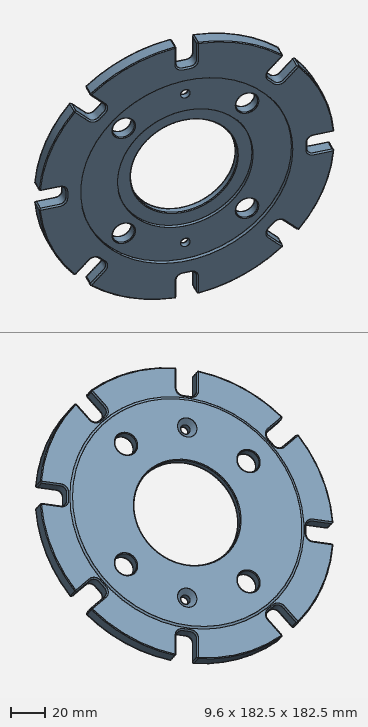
import cadquery as cq
import math

slot_width = 12.8
slot_floor_radius = 74.6
slot_corner_radius = 4.0
slot_chamfer = 1.0
slot_mouth_half_width = slot_width / 2 + slot_chamfer
slot_count = 8
cutter_overrun = 3.6

overall_size = 182.5
plate_radius = math.hypot(overall_size / 2, slot_mouth_half_width)
plate_thickness = 9.1
rim_chamfer = 0.5

boss_height = 0.5
boss_foot_height = 0.2
boss_foot_radius = 73.0
boss_shoulder_radius = 72.5
boss_top_radius = 71.5
total_thickness = boss_height + plate_thickness

recess_radius = 65.7
web_thickness = 7.1
inner_recess_radius = 42.0
inner_web_thickness = 5.0

hole_chamfer = 0.5
center_bore_radius = 33.0
bolt_hole_radius = 6.7
bolt_hole_count = 4
screw_hole_radius = 3.0
screw_hole_count = 2
countersink_radius = 6.0
countersink_depth = countersink_radius - screw_hole_radius
hole_circle_radius = 54.0


def revolve_about_x(profile):
    """Closed (x, radius) profile turned about the X axis."""
    return cq.Workplane("XY").polyline(profile).close().revolve(360, (0, 0, 0), (1, 0, 0))


def ring_positions(cutter, count, start_angle=0):
    """The cutter, modelled on the X-Z plane, repeated evenly about the X axis."""
    step = 360 / count
    return [cutter.rotate((0, 0, 0), (1, 0, 0), start_angle + index * step) for index in range(count)]


def make_body():
    """Turned blank: plate with chamfered rim, front boss and rear recess."""
    rim_edge_radius = plate_radius - rim_chamfer
    return revolve_about_x([
        (0, 0),
        (0, boss_top_radius),
        (boss_height - boss_foot_height, boss_shoulder_radius),
        (boss_height, boss_foot_radius),
        (boss_height, rim_edge_radius),
        (boss_height + rim_chamfer, plate_radius),
        (total_thickness - rim_chamfer, plate_radius),
        (total_thickness, rim_edge_radius),
        (total_thickness, recess_radius),
        (web_thickness, recess_radius),
        (web_thickness, inner_recess_radius),
        (inner_web_thickness, inner_recess_radius),
        (inner_web_thickness, 0),
    ])


def make_slot_prism(start, depth, growth=0, taper=0):
    """Slot at +Z, extruded from X = start, with its outline grown outward by the given amount."""
    half_width = slot_width / 2 + growth
    floor = slot_floor_radius - growth
    radius = slot_corner_radius + growth
    top = plate_radius + cutter_overrun
    return (
        cq.Workplane("YZ", origin=(start, 0, 0))
        .moveTo(-half_width, top)
        .lineTo(-half_width, floor + radius)
        .radiusArc((-half_width + radius, floor), -radius)
        .lineTo(half_width - radius, floor)
        .radiusArc((half_width, floor + radius), -radius)
        .lineTo(half_width, top)
        .close()
        .extrude(depth, taper=taper)
    )


def make_mouth_cutter():
    """45 degree wedge that chamfers both corners where the slot walls meet the rim."""
    half_width = slot_width / 2
    flare_half_width = slot_mouth_half_width + cutter_overrun
    mouth_top = overall_size / 2
    return (
        cq.Workplane("YZ", origin=(boss_height, 0, 0))
        .moveTo(-half_width, mouth_top - slot_chamfer)
        .lineTo(half_width, mouth_top - slot_chamfer)
        .lineTo(flare_half_width, mouth_top + cutter_overrun)
        .lineTo(-flare_half_width, mouth_top + cutter_overrun)
        .close()
        .extrude(plate_thickness)
    )


def make_slot_cutter():
    """Slot through the plate with its wall chamfers at the front face, rear face and mouth."""
    slot = make_slot_prism(boss_height, plate_thickness)
    front_flare = make_slot_prism(boss_height, slot_chamfer, growth=slot_chamfer, taper=45)
    rear_flare = make_slot_prism(total_thickness, -slot_chamfer, growth=slot_chamfer, taper=45)
    return slot.union(front_flare).union(rear_flare).union(make_mouth_cutter())


def make_chamfered_hole(radius, depth):
    """Hole along X through a web of the given depth, chamfered at both ends."""
    flared_radius = radius + hole_chamfer
    return revolve_about_x([
        (0, 0),
        (0, flared_radius),
        (hole_chamfer, radius),
        (depth - hole_chamfer, radius),
        (depth, flared_radius),
        (depth, 0),
    ])


def make_screw_hole():
    """Hole along X, countersunk at the front face."""
    return revolve_about_x([
        (0, 0),
        (0, countersink_radius),
        (countersink_depth, screw_hole_radius),
        (web_thickness, screw_hole_radius),
        (web_thickness, 0),
    ])


to_hole_circle = (0, 0, hole_circle_radius)
bolt_hole = make_chamfered_hole(bolt_hole_radius, web_thickness).translate(to_hole_circle)
screw_hole = make_screw_hole().translate(to_hole_circle)

cutters = [make_chamfered_hole(center_bore_radius, inner_web_thickness)]
cutters += ring_positions(bolt_hole, bolt_hole_count, start_angle=45)
cutters += ring_positions(screw_hole, screw_hole_count)
cutters += ring_positions(make_slot_cutter(), slot_count)

result = make_body()
for cutter in cutters:
    result = result.cut(cutter)